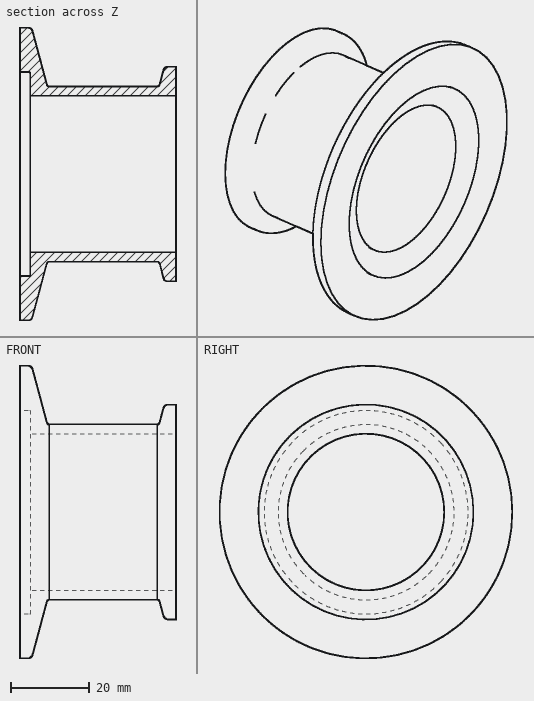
import cadquery as cq
import math

length = 40.0
tube_radius = 22.5
bore_radius = 20.0
root_fillet = 0.5

large_radius = 37.5
small_radius = 27.5
rim_width = 2.1
back_angle = 15.0
rim_fillet = 1.2

recess_radius = 26.1
recess_depth = 2.6
recess_fillet = 0.2

slope = math.tan(math.radians(back_angle))
fillet_setback = rim_fillet * math.tan(math.radians(90 - back_angle) / 2)
rim_edge = rim_width + fillet_setback


def flange_root(flange_radius):
    """Distance from a flange's outer face to where its back meets the tube."""
    return rim_edge + (flange_radius - tube_radius) * slope


def outer_body():
    """Revolve the outside of the tube and both flanges about the X axis."""
    profile = [
        (0, 0),
        (0, large_radius),
        (rim_edge, large_radius),
        (flange_root(large_radius), tube_radius),
        (length - flange_root(small_radius), tube_radius),
        (length - rim_edge, small_radius),
        (length, small_radius),
        (length, 0),
    ]
    return cq.Workplane("XY").polyline(profile).close().revolve(360, (0, 0, 0), (1, 0, 0))


def circle_edge_at(x, radius):
    """Select the circular edge that crosses the point (x, radius)."""
    margin = 0.1
    reach = radius + margin
    return cq.selectors.BoxSelector(
        (x - margin, -reach, -reach), (x + margin, reach, reach), boundingbox=True
    )


def round_flange(body, x_rim, x_root, flange_radius):
    """Round a flange's back rim edge and its root on the tube."""
    body = body.edges("%CIRCLE").edges(circle_edge_at(x_rim, flange_radius)).fillet(rim_fillet)
    return body.edges("%CIRCLE").edges(circle_edge_at(x_root, tube_radius)).fillet(root_fillet)


def cylinder(radius, depth):
    """Solid cylinder on the X axis, starting at the large flange's face."""
    return cq.Workplane("YZ").circle(radius).extrude(depth)


body = outer_body()
body = round_flange(body, rim_edge, flange_root(large_radius), large_radius)
body = round_flange(body, length - rim_edge, length - flange_root(small_radius), small_radius)

recess = cylinder(recess_radius, recess_depth).edges(">X").fillet(recess_fillet)

result = body.cut(recess).cut(cylinder(bore_radius, length))